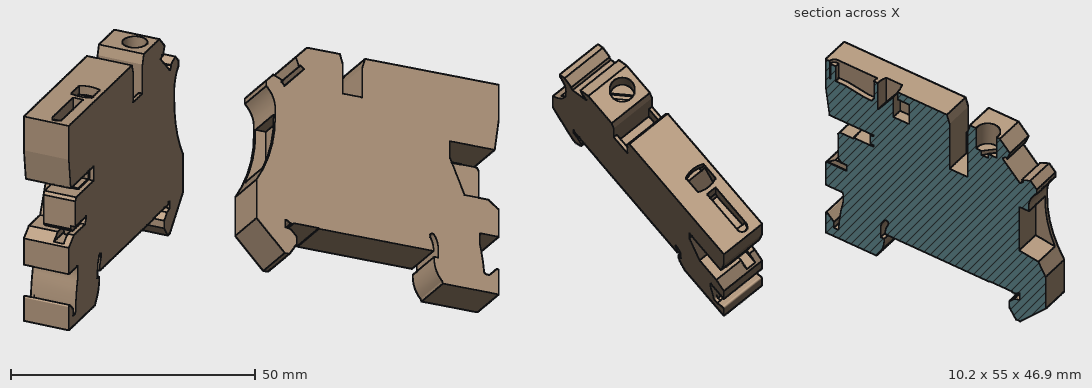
import cadquery as cq
import math


width = 10.2
length = 55.0
height = 46.85
rail_seat_z = 6.9
cover_wall = 0.8
overlap = 0.55

nose_z = 39.1
nose_setback = 0.95
gap_top_z = 32.1
gap_back_y = 11.1
gap_slope_top_z = 28.45
gap_slope_foot_y = 7.8
gap_floor_z = 20.75
bevel_y = 2.4
bevel_z = 18.9
front_block_z = 12.85
neck_y = 4.25
foot_toe_y = 12.7
trough_front_y = 2.15
trough_floor_z = 3.95
neck_foot_y = 3.35
neck_foot_z = 4.5
trough_pit_back_y = 3.2
trough_pit_z = 2.4

channel_front_y = 31.0
channel_back_y = 35.4
channel_floor_z = 38.1
channel_taper = 0.65
channel_taper_z = 44.7
channel_pit_depth = 5.5

back_foot_z = 15.25
back_foot_bevel_z = 6.6
back_hollow_y = 50.75
lip_y = 52.8

screw_x = 6.2
screw_y = 40.2
screw_radius = 2.6
screw_depth = 5.5
screw_slot_width = 1.1
screw_slot_depth = 1.1
screw_slot_angle = -45.0

release_x = 6.65
release_y = 15.5
release_width = 4.7
release_length = 4.95
release_end_radius = 5.6
release_ramp_depth = 1.75
release_roof_depth = 2.1
release_ramp_y = 17.0
release_ramp_angle = 54.0
release_cavity_back_y = 20.9

slot_x = 6.6
slot_width = 2.25
slot_front_y = 1.05
slot_back_y = 12.05
slot_depth = 5.5
slot_step_y = 11.55
slot_rise_back_y = 9.95
slot_rise_front_y = 4.75
slot_rise = 0.8
slot_steep_rise = 0.75
peg_back_y = 2.6
peg_clearance = 0.15
peg_top_drop = 0.65

lever_left_x = 3.0
lever_front_y = 3.1
lever_top_z = 28.9
lever_top_bevel_y = 0.5
lever_top_bevel_z = 0.7
lever_bottom_bevel = 0.9
lever_notch_x = 9.15
lever_notch_z = 22.35
plate_left_x = 3.35
plate_right_x = 9.0
plate_front_y = 7.0
plate_thickness = 0.3
cavity_top_z = 29.4
cavity_depth = 0.8
ceiling_slit_height = 0.2

keyway_x = 7.65
keyway_width = 2.2
keyway_floor_z = 19.3
keyway_back_y = 5.6

recess_edge_y = 53.2
recess_edge_z = 18.5
recess_floor_angle = 8.0
recess_front_y = 48.4
recess_top_z = 30.8


def prism(points, x_start, x_end):
    """Extrude a closed (y, z) polygon from x_start to x_end."""
    sketch = cq.Workplane("YZ", origin=(x_start, 0, 0)).polyline(points).close()
    return sketch.extrude(x_end - x_start)


def box(x_range, y_range, z_range):
    """Box between the given pairs of limits."""
    corner = (x_range[0], y_range[0], z_range[0])
    sizes = [limits[1] - limits[0] for limits in (x_range, y_range, z_range)]
    return cq.Workplane("XY").box(*sizes, centered=False).translate(corner)


def housing():
    """Full-width side outline, followed from the top front corner down the front face."""
    outline = cq.Workplane("YZ").moveTo(0, height)
    outline = (
        outline.lineTo(0, nose_z)
        .lineTo(nose_setback, gap_top_z)
        .lineTo(gap_back_y, gap_top_z)
        .lineTo(gap_back_y, gap_slope_top_z)
        .lineTo(gap_slope_foot_y, gap_floor_z)
        .lineTo(bevel_y, gap_floor_z)
        .lineTo(0, bevel_z)
        .lineTo(0, front_block_z)
    )
    outline = (
        outline.lineTo(neck_y, front_block_z)
        .threePointArc((4.4, 11.3), (4.2, 9.6))
        .threePointArc((3.7, 7.2), (neck_foot_y, neck_foot_z))
        .tangentArcPoint((2.75, trough_floor_z), relative=False)
        .lineTo(trough_front_y, trough_floor_z)
        .lineTo(0.65, 5.45)
        .threePointArc((0.35, 5.6), (0, 5.35))
        .lineTo(0, 0)
    )
    outline = (
        outline.lineTo(foot_toe_y, 0)
        .lineTo(12.9, 0.55)
        .threePointArc((14.2, 2.55), (14.7, 4.95))
        .lineTo(14.7, 5.6)
        .lineTo(13.8, 5.6)
        .lineTo(13.8, 7.85)
        .threePointArc((14.1, 9.35), (14.65, 10.4))
        .threePointArc((15.1, 10.7), (15.6, 10.4))
        .lineTo(15.6, 9.85)
        .threePointArc((15.0, 8.45), (14.85, rail_seat_z))
    )
    outline = (
        outline.lineTo(40.85, rail_seat_z)
        .lineTo(40.85, 7.05)
        .lineTo(46.55, 7.05)
        .lineTo(46.7, rail_seat_z)
        .lineTo(47.2, rail_seat_z)
        .lineTo(47.8, 7.15)
        .lineTo(48.2, 7.5)
        .lineTo(48.45, 7.5)
        .lineTo(48.45, 5.85)
        .lineTo(47.2, 5.5)
        .lineTo(45.85, 4.2)
        .lineTo(45.85, 2.4)
        .lineTo(47.5, 0)
        .lineTo(48.6, 0)
    )
    outline = (
        outline.lineTo(length, back_foot_bevel_z)
        .lineTo(length, back_foot_z)
        .threePointArc((51.75, 22.5), (back_hollow_y, 30.15))
        .lineTo(back_hollow_y, 32.2)
        .threePointArc((51.35, 34.55), (lip_y, 36.5))
        .lineTo(lip_y, 37.75)
    )
    outline = (
        outline.lineTo(51.2, 39.4)
        .lineTo(49.0, 38.45)
        .lineTo(49.35, 38.1)
        .lineTo(48.6, 37.35)
        .lineTo(44.2, 41.9)
        .lineTo(45.05, 42.55)
        .lineTo(45.4, 42.25)
        .lineTo(46.1, 44.2)
        .lineTo(43.55, height)
    )
    outline = (
        outline.lineTo(channel_back_y + channel_taper, height)
        .lineTo(channel_back_y, channel_taper_z)
        .lineTo(channel_back_y, channel_floor_z)
        .lineTo(channel_front_y, channel_floor_z)
        .lineTo(channel_front_y, channel_taper_z)
        .lineTo(channel_front_y - channel_taper, height)
        .close()
    )
    return outline.extrude(width)


def trough_pit():
    """Deeper part of the foot's trough, open at the right side."""
    side = [
        (trough_front_y, neck_foot_z),
        (neck_foot_y, neck_foot_z),
        (trough_pit_back_y, trough_pit_z),
        (trough_front_y, trough_pit_z),
    ]
    return prism(side, cover_wall, width)


def channel_pit():
    """Deeper middle of the marker channel, between the two side walls."""
    return box(
        (cover_wall, width - cover_wall),
        (channel_front_y, channel_back_y),
        (channel_floor_z - channel_pit_depth, channel_floor_z),
    )


def screw_hole():
    """Blind hole whose bottom is the slotted screw head."""
    head_z = height - screw_depth
    hole = cq.Workplane("XY", origin=(screw_x, screw_y, head_z)).circle(screw_radius).extrude(screw_depth)
    driver_slot = (
        cq.Workplane("XY", origin=(screw_x, screw_y, head_z - screw_slot_depth))
        .transformed(rotate=(0, 0, screw_slot_angle))
        .rect(2 * screw_radius, screw_slot_width)
        .extrude(screw_slot_depth + overlap)
    )
    reach = cq.Workplane("XY", origin=(screw_x, screw_y, 0)).circle(screw_radius).extrude(height)
    return hole.union(driver_slot.intersect(reach))


def release_pocket():
    """Hole with straight sides and bowed ends, over a ramp with a cavity behind it."""
    half_width = release_width / 2
    half_length = release_length / 2
    bow = release_end_radius - math.sqrt(release_end_radius**2 - half_width**2)
    side_length = half_length - bow
    front_y = release_y - half_length
    ramp_top_z = height - release_ramp_depth
    roof_z = height - release_roof_depth
    ramp_drop = (release_ramp_y - front_y) * math.tan(math.radians(release_ramp_angle))
    plan = (
        cq.Workplane("XY", origin=(release_x, release_y, 0))
        .moveTo(-half_width, -side_length)
        .threePointArc((0, -half_length), (half_width, -side_length))
        .lineTo(half_width, side_length)
        .threePointArc((0, half_length), (-half_width, side_length))
        .close()
        .extrude(height)
    )
    ramp_foot_z = ramp_top_z - ramp_drop
    above_ramp = [
        (front_y, height),
        (front_y, ramp_foot_z),
        (release_ramp_y, ramp_top_z),
        (release_ramp_y, roof_z),
        (release_y + half_length, roof_z),
        (release_y + half_length, height),
    ]
    cavity = box(
        (release_x - half_width, release_x + half_width),
        (release_ramp_y, release_cavity_back_y),
        (ramp_foot_z, roof_z),
    )
    return plan.intersect(prism(above_ramp, 0, width)).union(cavity)


def round_front_plan(half_width, front_y, back_y):
    """Tall column with a half-round front end, centred on the test slot."""
    center_y = front_y + half_width
    return (
        cq.Workplane("XY")
        .moveTo(slot_x - half_width, back_y)
        .lineTo(slot_x - half_width, center_y)
        .threePointArc((slot_x, front_y), (slot_x + half_width, center_y))
        .lineTo(slot_x + half_width, back_y)
        .close()
        .extrude(height)
    )


def test_slot():
    """Slot over a stepped floor, less the peg that stands in its front end."""
    low_z = height - slot_depth
    front_z = low_z + slot_rise
    above_floor = [
        (slot_front_y, height),
        (slot_front_y, front_z),
        (slot_rise_front_y, front_z),
        (slot_rise_back_y, low_z),
        (slot_step_y, low_z),
        (slot_back_y, low_z + slot_steep_rise),
        (slot_back_y, height),
    ]
    plan = round_front_plan(slot_width / 2, slot_front_y, slot_back_y)
    peg = round_front_plan(slot_width / 2 - peg_clearance, slot_front_y + peg_clearance, peg_back_y)
    peg = peg.intersect(box((0, width), (0, slot_back_y), (0, height - peg_top_drop)))
    return plan.intersect(prism(above_floor, 0, width)).cut(peg)


def lever_opening():
    """Back wall of the gap: lever clearance, step beside the side wall and slit under the ceiling."""
    y_range = (gap_back_y - overlap, gap_back_y + cavity_depth)
    over_lever = box((lever_left_x, width), y_range, (lever_top_z, cavity_top_z))
    beside_wall = box((width - cover_wall, width), y_range, (lever_top_z, gap_top_z))
    slit = box((plate_left_x, plate_right_x), y_range, (gap_top_z - ceiling_slit_height, gap_top_z))
    return over_lever.union(beside_wall).union(slit)


def lever():
    """Bevelled lever with a thin raised plate and a notch in its lower right edge."""
    back_y = gap_back_y + cavity_depth
    side = [
        (back_y, lever_top_z),
        (lever_front_y + lever_top_bevel_y, lever_top_z),
        (lever_front_y, lever_top_z - lever_top_bevel_z),
        (lever_front_y, gap_floor_z + lever_bottom_bevel),
        (lever_front_y + lever_bottom_bevel, gap_floor_z),
        (back_y, gap_floor_z),
    ]
    plate = box(
        (plate_left_x, plate_right_x),
        (plate_front_y, back_y),
        (lever_top_z, lever_top_z + plate_thickness),
    )
    notch = box((lever_notch_x, width), (lever_front_y, back_y), (gap_floor_z, lever_notch_z))
    return prism(side, lever_left_x, width).cut(notch).union(plate)


def keyway():
    """Open-fronted slot through the front block's bevel, its back wall bowed forward."""
    depth = gap_floor_z - keyway_floor_z
    half_width = keyway_width / 2
    back_wall = (
        cq.Workplane("XY", origin=(keyway_x, keyway_back_y, keyway_floor_z))
        .circle(half_width)
        .extrude(depth)
    )
    slot = box(
        (keyway_x - half_width, keyway_x + half_width),
        (0, keyway_back_y),
        (keyway_floor_z, gap_floor_z),
    )
    return slot.cut(back_wall)


def back_recess():
    """Recess in the concave back between the side walls, its floor falling outward."""
    fall = math.tan(math.radians(recess_floor_angle))
    floor = [
        (recess_front_y, recess_edge_z + (recess_edge_y - recess_front_y) * fall),
        (length, recess_edge_z - (length - recess_edge_y) * fall),
        (length, recess_top_z),
        (recess_front_y, recess_top_z),
    ]
    return prism(floor, cover_wall, width - cover_wall)


body = housing()
cutters = (
    trough_pit(),
    channel_pit(),
    screw_hole(),
    release_pocket(),
    test_slot(),
    back_recess(),
    lever_opening(),
    keyway(),
)
for cutter in cutters:
    body = body.cut(cutter)

result = body.union(lever())